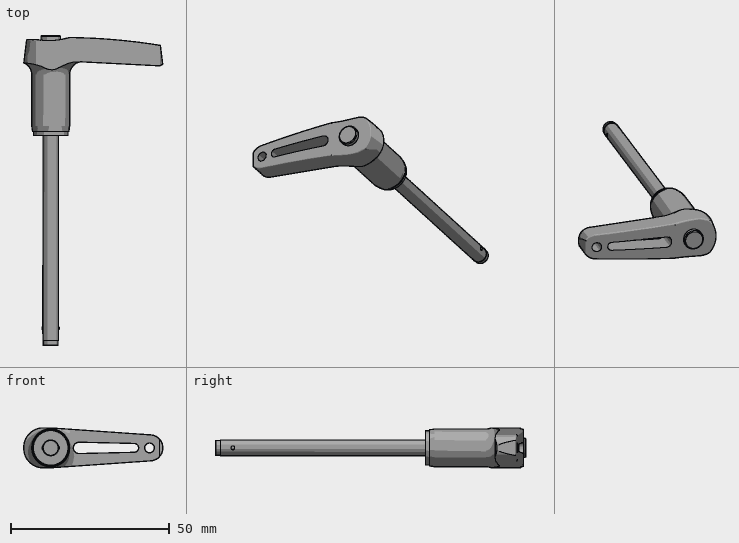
import cadquery as cq
import math


pin_radius = 2.5
pin_length = 66.0
tip_radius = 2.35
tip_length = 1.5
ball_radius = 0.75
ball_protrusion = 0.25
ball_from_tip = 5.4

collar_radius = 5.45
collar_height = 1.25
grip_radius = 6.0
grip_rim_radius = 5.75
grip_taper_top = 3.0
grip_top = 19.2
flare_radius = 4.05
flare_top = grip_top + flare_radius
flare_outer_radius = grip_radius + flare_radius

button_radius = 3.1
button_top = 31.6
button_chamfer = 0.3

handle_half_width = 6.33
head_radius = 6.36
head_center_x = -2.2
flat_end_x = -0.5
blend_radius = 12.0
flank_angle = math.radians(4.0)
tip_center_x = 31.2

head_left_limit = -12.0
head_top = 30.3
dip_start_x = -4.5
dip_x = -0.5
dip_y = 29.95
crest_x = 6.0
crest_y = 30.95
back_mid_x = 20.8
back_mid_y = 30.2
end_top_x = 34.55
end_top_y = 28.45
end_bottom_x = 35.3
end_bottom_y = 22.5
belly_start_x = 9.0
belly_end_x = 34.3
belly_end_y = 21.95
top_edge_fillet = 0.4
upward_normal_limit = 0.9

slope_face_radius = 8.1
slope_top_x = -7.6
slope_bottom_x = -8.53
slope_bottom_y = 22.8
slope_block_size = 20.0

slot_wide_center_x = 8.9
slot_wide_radius = 1.75
slot_narrow_center_x = 26.3
slot_narrow_radius = 1.35
eyelet_x = 31.1
eyelet_radius = 1.5


def extrude_along_y(sketch_on_plane, y_start, y_end):
    """Extrude an XZ outline drawn by sketch_on_plane from y_start to y_end."""
    plane = cq.Workplane("XZ", origin=(0, y_start, 0))
    return sketch_on_plane(plane).extrude(y_start - y_end)


def handle_outline(plane):
    """Teardrop outline: round head, short flats, small blends, tapering flanks, round tip."""
    flat_start_x = head_center_x - math.sqrt(head_radius**2 - handle_half_width**2)
    sin_a = math.sin(flank_angle)
    cos_a = math.cos(flank_angle)
    blend_end_x = flat_end_x + blend_radius * sin_a
    blend_end_z = handle_half_width - blend_radius * (1 - cos_a)
    tip_arc_radius = (blend_end_x - tip_center_x) * sin_a + blend_end_z * cos_a
    tip_x = tip_center_x + tip_arc_radius * sin_a
    tip_z = tip_arc_radius * cos_a
    return (
        plane.moveTo(flat_start_x, handle_half_width)
        .lineTo(flat_end_x, handle_half_width)
        .tangentArcPoint((blend_end_x, blend_end_z), relative=False)
        .lineTo(tip_x, tip_z)
        .threePointArc((tip_center_x + tip_arc_radius, 0), (tip_x, -tip_z))
        .lineTo(blend_end_x, -blend_end_z)
        .tangentArcPoint((flat_end_x, -handle_half_width), relative=False)
        .lineTo(flat_start_x, -handle_half_width)
        .threePointArc((head_center_x - head_radius, 0), (flat_start_x, handle_half_width))
        .close()
    )


def slot_outline(plane):
    """Tapered slot: two arcs of different radius joined by their common tangents."""
    spacing = slot_narrow_center_x - slot_wide_center_x
    sin_t = (slot_wide_radius - slot_narrow_radius) / spacing
    cos_t = math.sqrt(1 - sin_t**2)
    wide_x = slot_wide_center_x + slot_wide_radius * sin_t
    wide_z = slot_wide_radius * cos_t
    narrow_x = slot_narrow_center_x + slot_narrow_radius * sin_t
    narrow_z = slot_narrow_radius * cos_t
    return (
        plane.moveTo(wide_x, wide_z)
        .lineTo(narrow_x, narrow_z)
        .threePointArc((slot_narrow_center_x + slot_narrow_radius, 0), (narrow_x, -narrow_z))
        .lineTo(wide_x, -wide_z)
        .threePointArc((slot_wide_center_x - slot_wide_radius, 0), (wide_x, wide_z))
        .close()
    )


def make_pin():
    """Pin shank with a reduced tip and two locking balls on opposite sides."""
    pin = extrude_along_y(lambda p: p.circle(pin_radius), tip_length - pin_length, grip_top)
    tip = extrude_along_y(lambda p: p.circle(tip_radius), -pin_length, 0)
    pin = pin.union(tip)
    ball_x = pin_radius + ball_protrusion - ball_radius
    for side in (-1, 1):
        ball = cq.Workplane("XY").sphere(ball_radius)
        pin = pin.union(ball.translate((side * ball_x, ball_from_tip - pin_length, 0)))
    return pin


def make_grip():
    """Turned grip: collar, tapered rim and cylinder."""
    return (
        cq.Workplane("XY")
        .moveTo(0, 0)
        .lineTo(collar_radius, 0)
        .lineTo(collar_radius, collar_height)
        .lineTo(grip_rim_radius, collar_height)
        .lineTo(grip_radius, grip_taper_top)
        .lineTo(grip_radius, grip_top)
        .lineTo(0, grip_top)
        .close()
        .revolve(360, (0, 0, 0), (0, 1, 0))
    )


def make_flare():
    """Concave flare from the grip cylinder out to the underside of the handle."""
    arc_mid_offset = flare_radius * math.sin(math.radians(45))
    arc_mid = (flare_outer_radius - arc_mid_offset, grip_top + arc_mid_offset)
    return (
        cq.Workplane("XY")
        .moveTo(0, grip_top)
        .lineTo(grip_radius, grip_top)
        .threePointArc(arc_mid, (flare_outer_radius, flare_top))
        .lineTo(0, flare_top)
        .close()
        .revolve(360, (0, 0, 0), (0, 1, 0))
    )


def make_side_profile():
    """Side shape of the handle: dipped head top, arched back, sloping end, straight belly."""
    return (
        cq.Workplane("XY", origin=(0, 0, -head_radius))
        .moveTo(head_left_limit, flare_top)
        .lineTo(head_left_limit, head_top)
        .lineTo(dip_start_x, head_top)
        .threePointArc((dip_x, dip_y), (crest_x, crest_y))
        .threePointArc((back_mid_x, back_mid_y), (end_top_x, end_top_y))
        .lineTo(end_bottom_x, end_bottom_y)
        .lineTo(belly_end_x, belly_end_y)
        .lineTo(belly_start_x, flare_top)
        .close()
        .extrude(2 * head_radius)
    )


def make_slope_cutter():
    """Waste outside a cylinder that leans toward the handle as it rises."""
    lean = math.atan2(slope_top_x - slope_bottom_x, head_top - slope_bottom_y)
    block = (
        cq.Workplane("XY")
        .box(slope_block_size, 2 * slope_block_size, slope_block_size)
        .translate((-slope_block_size / 2 - slope_face_radius / 2, 0, 0))
    )
    keep = (
        cq.Workplane("XZ", origin=(0, -slope_block_size, 0))
        .circle(slope_face_radius)
        .extrude(-2 * slope_block_size)
    )
    cutter = block.cut(keep).rotate((0, 0, 0), (0, 0, 1), -math.degrees(lean))
    shift_x = slope_bottom_x + slope_face_radius * math.cos(lean)
    shift_y = slope_bottom_y - slope_face_radius * math.sin(lean)
    return cutter.translate((shift_x, shift_y, 0))


def round_top_rim(handle):
    """Fillet the edges that surround the upward (+Y) faces as a group."""
    edge_uses = {}
    for face in handle.faces().vals():
        if face.normalAt().y > upward_normal_limit:
            for edge in face.Edges():
                edge_uses.setdefault(edge.hashCode(), []).append(edge)
    rim = [uses[0] for uses in edge_uses.values() if len(uses) == 1]
    return handle.newObject(rim).fillet(top_edge_fillet)


def make_handle():
    """Handle arm and head, with the flare trimmed to the handle outline."""
    handle = make_side_profile().union(make_flare())
    handle = handle.intersect(extrude_along_y(handle_outline, grip_top, button_top))
    handle = handle.cut(make_slope_cutter())
    return round_top_rim(handle)


def make_button():
    """Release button standing out of the head."""
    button = extrude_along_y(lambda p: p.circle(button_radius), grip_top, button_top)
    return button.faces(">Y").chamfer(button_chamfer)


def cut_openings(body):
    """Slot and eyelet through the handle arm, parallel to the pin axis."""
    slot = extrude_along_y(slot_outline, grip_top, button_top)
    eyelet = extrude_along_y(lambda p: p.moveTo(eyelet_x, 0).circle(eyelet_radius), grip_top, button_top)
    return body.cut(slot).cut(eyelet)


result = cut_openings(make_handle().union(make_grip()))
result = result.union(make_button()).union(make_pin())